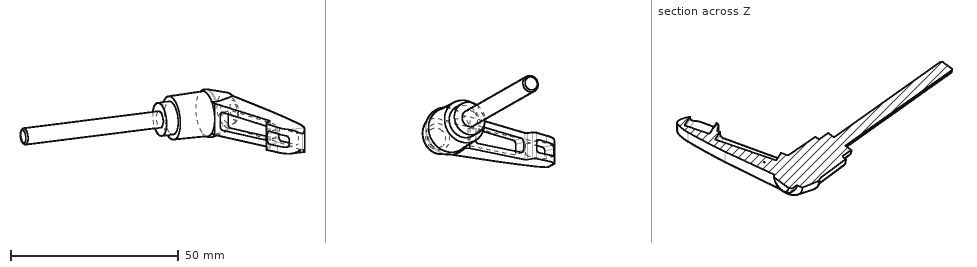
import cadquery as cq
import math


stud_diameter = 5.0
stud_length = 45.0
stud_chamfer = 0.5
collar_diameter = 10.0

skirt_bottom_y = 3.8
skirt_bottom_radius = 6.55
skirt_top_radius = 6.78
rim_bottom_y = 15.0
rim_radius = 7.25
rim_straight_bottom_y = 15.85
rim_straight_top_y = 16.3
cone_angle = 15.0
cone_top_y = 24.0

head_diameter = 8.0
head_top_y = 24.5
head_wall_top_y = 23.5
head_shoulder_radius = 3.65
head_shoulder_y = 24.05
head_face_radius = 3.0

top_slope = math.tan(math.radians(12.8))
top_y_at_axis = 22.82
top_straight_end_x = 21.0
crest_start = (34.5, 29.9)
crest_mid = (28.0, 28.9)
crest_top = (36.7, 29.99)
nose_start = (38.9, 29.7)
nose_mid = (39.7, 29.25)
tip_x = 40.0
nose_end = (tip_x, 28.5)
tip_mid = (38.5, 24.6)
heel_x = 6.8
underside_angle = 20.3
underside_slope = math.tan(math.radians(underside_angle))
notch_root_x = 28.76
notch_nose_x = 30.45
notch_drop = 2.45
notch_root_radius = 0.6
notch_nose_radius = 1.0
tip_start_x = 35.1

half_width_at_axis = 5.13
side_slope = math.tan(math.radians(2.0))
tip_corner_radius = 1.6

pocket_wall = 2.0
pocket_corner_radius = 1.0
long_pocket_start_x = 9.0
long_pocket_end_x = 27.8
long_pocket_depth = 3.4
tip_pocket_start_x = 31.3
tip_pocket_end_x = 38.95
tip_pocket_depth = 4.9


def top_y(x):
    return top_y_at_axis + top_slope * x


def underside_y(x):
    return rim_bottom_y + underside_slope * (x - heel_x)


notch_root = (notch_root_x, underside_y(notch_root_x))
notch_nose = (notch_nose_x, notch_root[1] - notch_drop)


def tip_underside_y(x):
    return notch_nose[1] + underside_slope * (x - notch_nose_x)


def half_width(x):
    return half_width_at_axis - side_slope * x


def tangent_rise(end_radius, end_y, wall_radius, wall_y):
    """Middle and wall point of an arc that leaves an upright wall tangentially and ends at end_radius."""
    inset = wall_radius - end_radius
    rise = end_y - wall_y
    arc_radius = (inset**2 + rise**2) / (2 * inset)
    half_turn = math.asin(rise / arc_radius) / 2
    middle = (
        wall_radius - arc_radius * (1 - math.cos(half_turn)),
        wall_y + arc_radius * math.sin(half_turn),
    )
    return middle, (wall_radius, wall_y)


def make_hub():
    cone_top_radius = rim_radius - (cone_top_y - rim_straight_top_y) * math.tan(math.radians(cone_angle))
    profile = (
        cq.Workplane("XY")
        .moveTo(0, skirt_bottom_y)
        .lineTo(skirt_bottom_radius, skirt_bottom_y)
        .lineTo(skirt_top_radius, rim_bottom_y)
        .threePointArc(*tangent_rise(skirt_top_radius, rim_bottom_y, rim_radius, rim_straight_bottom_y))
        .lineTo(rim_radius, rim_straight_top_y)
        .lineTo(cone_top_radius, cone_top_y)
        .lineTo(0, cone_top_y)
        .close()
    )
    hub = profile.revolve(360, (0, 0, 0), (0, 1, 0))
    reach = 2 * rim_radius
    above_slope = (
        cq.Workplane("XY")
        .polyline([
            (-reach, top_y(-reach)),
            (reach, top_y(reach)),
            (reach, 2 * cone_top_y),
            (-reach, 2 * cone_top_y),
        ])
        .close()
        .extrude(reach, both=True)
    )
    return hub.cut(above_slope)


def make_cylinder(diameter, bottom_y, top):
    return cq.Workplane("XZ", origin=(0, bottom_y, 0)).circle(diameter / 2).extrude(bottom_y - top)


def make_stud():
    stud = make_cylinder(stud_diameter, -stud_length, rim_bottom_y).faces("<Y").chamfer(stud_chamfer)
    return stud.union(make_cylinder(collar_diameter, 0, rim_bottom_y))


def make_head():
    head_radius = head_diameter / 2
    shoulder_middle, wall_top = tangent_rise(
        head_shoulder_radius, head_shoulder_y, head_radius, head_wall_top_y
    )
    return (
        cq.Workplane("XY")
        .moveTo(0, rim_bottom_y)
        .lineTo(head_radius, rim_bottom_y)
        .lineTo(*wall_top)
        .threePointArc(shoulder_middle, (head_shoulder_radius, head_shoulder_y))
        .lineTo(head_face_radius, head_top_y)
        .lineTo(0, head_top_y)
        .close()
        .revolve(360, (0, 0, 0), (0, 1, 0))
    )


def make_lever():
    outline = (
        cq.Workplane("XY")
        .moveTo(0, rim_bottom_y)
        .lineTo(heel_x, rim_bottom_y)
        .lineTo(*notch_root)
        .lineTo(*notch_nose)
        .lineTo(tip_start_x, tip_underside_y(tip_start_x))
        .threePointArc(tip_mid, nose_end)
        .threePointArc(nose_mid, nose_start)
        .threePointArc(crest_top, crest_start)
        .threePointArc(crest_mid, (top_straight_end_x, top_y(top_straight_end_x)))
        .lineTo(0, top_y(0))
        .close()
    )
    blade = outline.extrude(rim_radius, both=True)
    blade = blade.edges(cq.selectors.NearestToPointSelector((*notch_root, 0))).fillet(notch_root_radius)
    blade = blade.edges(cq.selectors.NearestToPointSelector((*notch_nose, 0))).fillet(notch_nose_radius)
    taper = (
        cq.Workplane("XZ")
        .polyline([
            (0, -half_width(0)),
            (tip_x, -half_width(tip_x)),
            (tip_x, half_width(tip_x)),
            (0, half_width(0)),
        ])
        .close()
        .extrude(-2 * crest_top[1])
        .edges("|Y and >X")
        .fillet(tip_corner_radius)
    )
    return blade.intersect(taper)


def make_pocket(start_x, end_x, start_y, depth):
    along = (math.cos(math.radians(underside_angle)), math.sin(math.radians(underside_angle)), 0)
    inward = (-along[1], along[0], 0)
    plane = cq.Plane(origin=(start_x, start_y, 0), xDir=along, normal=inward)
    length = (end_x - start_x) / along[0]
    start_half = half_width(start_x) - pocket_wall
    end_half = half_width(end_x) - pocket_wall
    return (
        cq.Workplane(plane)
        .workplane(offset=-depth)
        .polyline([(0, -start_half), (length, -end_half), (length, end_half), (0, start_half)])
        .close()
        .extrude(2 * depth)
        .edges(cq.selectors.ParallelDirSelector(cq.Vector(*inward)))
        .fillet(pocket_corner_radius)
    )


long_pocket = make_pocket(
    long_pocket_start_x, long_pocket_end_x, underside_y(long_pocket_start_x), long_pocket_depth
)
tip_pocket = make_pocket(
    tip_pocket_start_x, tip_pocket_end_x, tip_underside_y(tip_pocket_start_x), tip_pocket_depth
)
lever = make_lever().cut(long_pocket).cut(tip_pocket)
result = make_hub().union(lever).union(make_head()).union(make_stud())